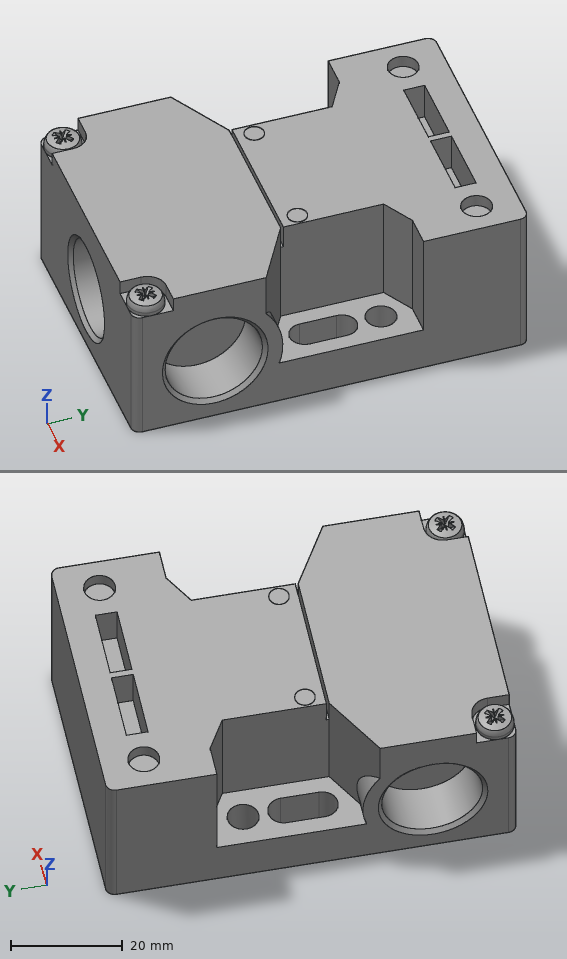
import cadquery as cq
import math

width = 52.0
length = 75.0
height = 30.0
corner_radius = 1.65
half_width = width / 2
rear_y = length / 2
front_y = -length / 2

waist_half_width = 14.0
flange_thickness = 8.9
flank_angle = 30.0
notch_rear_y = rear_y - 20.0
notch_rear_flat = 6.1
notch_front_y = rear_y - 43.0

groove_width = 0.5
groove_depth = 4.65

mount_x = 20.0
mount_diameter = 5.7
through_hole_y = rear_y - 26.0
slot_y = rear_y - 37.0
slot_length = 12.75
blind_hole_depth = 2.4

window_size = (13.4, 4.0)
window_gap = 1.2
window_depth = 7.5
rear_row_y = rear_y - 7.9

pin_diameter = 3.7
pin_recess = 0.1
pin_x = 11.8
pin_y = rear_y - 39.0

entry_diameter = 18.45
entry_mouth_diameter = 20.0
entry_chamfer = (entry_mouth_diameter - entry_diameter) / 2
entry_z = 13.0
entry_depth = 10.0
side_entry_y = rear_y - 59.55
entry_boss_radius = 12.8

pocket_size = 7.5
pocket_depth = 2.8
pocket_radius = 3.5
pocket_floor_z = height - pocket_depth
screw_inset = 3.45
screw_radius = 3.45
screw_rim_height = 0.75
screw_shoulder_radius = 3.0
screw_shoulder_height = 2.0
screw_height = 2.6
dome_bulge = 0.75
recess_radius = 2.25
recess_arm_width = 0.8
recess_depth = 1.95
score_width = 0.15
score_depth = 0.6

SIDES = (-1, 1)


def side_notch(side):
    """Cutter for one side notch, kept clear of the round boss around the side entry."""
    slope = math.tan(math.radians(flank_angle))
    rear_corner_x = half_width - notch_rear_flat
    outline = [
        (side * half_width, notch_rear_y),
        (side * rear_corner_x, notch_rear_y),
        (side * waist_half_width, notch_rear_y - (rear_corner_x - waist_half_width) * slope),
        (side * waist_half_width, notch_front_y),
        (side * half_width, notch_front_y - (half_width - waist_half_width) * slope),
    ]
    notch_height = height - flange_thickness
    notch = cq.Workplane("XY").workplane(offset=flange_thickness)
    notch = notch.polyline(outline).close().extrude(notch_height)
    boss = (
        cq.Workplane("ZY")
        .center(entry_z, side_entry_y)
        .circle(entry_boss_radius)
        .extrude(half_width, both=True)
    )
    return notch.cut(boss)


def cable_entry(mouth, inward):
    """Blind round bore with a chamfered mouth, starting at the point mouth."""
    plane = cq.Plane(origin=mouth, xDir=(0, 0, 1), normal=inward)
    bore = cq.Workplane(plane).circle(entry_diameter / 2).extrude(entry_depth)
    lead_in = (
        cq.Workplane(plane)
        .circle(entry_mouth_diameter / 2)
        .workplane(offset=entry_chamfer)
        .circle(entry_diameter / 2)
        .loft()
    )
    return bore.union(lead_in)


def corner_pocket(side):
    """Cutter for one open pocket in a front top corner, rounded at its inner corner."""
    block_size = 2 * pocket_size
    return (
        cq.Workplane("XY", origin=(side * half_width, front_y, pocket_floor_z))
        .rect(block_size, block_size)
        .extrude(pocket_depth)
        .edges("|Z")
        .fillet(pocket_radius)
    )


def screw_head(side):
    """Domed screw head with a diagonal cross recess and two fine score lines, all deepest at the centre."""
    flank_middle = (
        screw_shoulder_radius + dome_bulge * (screw_radius - screw_shoulder_radius),
        (screw_rim_height + screw_shoulder_height) / 2,
    )
    crown_middle = (
        screw_shoulder_radius / 2,
        screw_shoulder_height + dome_bulge * (screw_height - screw_shoulder_height),
    )
    head = (
        cq.Workplane("XZ")
        .lineTo(screw_radius, 0)
        .lineTo(screw_radius, screw_rim_height)
        .threePointArc(flank_middle, (screw_shoulder_radius, screw_shoulder_height))
        .threePointArc(crown_middle, (0, screw_height))
        .close()
        .revolve(360, (0, 0, 0), (0, 1, 0))
    )
    cuts = (
        (45, recess_arm_width, recess_depth),
        (135, recess_arm_width, recess_depth),
        (0, score_width, score_depth),
        (90, score_width, score_depth),
    )
    for angle, arm_width, depth in cuts:
        arm = (
            cq.Workplane("XZ")
            .polyline(
                [(-recess_radius, screw_height), (0, screw_height - depth), (recess_radius, screw_height)]
            )
            .close()
            .extrude(arm_width / 2, both=True)
        )
        head = head.cut(arm.rotate((0, 0, 0), (0, 0, 1), angle))
    return head.translate((side * (half_width - screw_inset), front_y + screw_inset, pocket_floor_z))


result = (
    cq.Workplane("XY")
    .box(width, length, height, centered=(True, True, False))
    .edges("|Z")
    .fillet(corner_radius)
)

for side in SIDES:
    result = result.cut(side_notch(side))
groove = cq.Workplane("XY", origin=(0, notch_front_y, height - groove_depth))
result = result.cut(
    groove.box(2 * waist_half_width, groove_width, groove_depth, centered=(True, False, False))
)

flange_base = cq.Workplane("XY")
through_points = [(side * mount_x, through_hole_y) for side in SIDES]
slot_points = [(side * mount_x, slot_y) for side in SIDES]
result = result.cut(
    flange_base.pushPoints(through_points).circle(mount_diameter / 2).extrude(flange_thickness)
)
result = result.cut(
    flange_base.pushPoints(slot_points).slot2D(slot_length, mount_diameter, 90).extrude(flange_thickness)
)

top_plane = cq.Workplane("XY").workplane(offset=height)
blind_points = [(side * mount_x, rear_row_y) for side in SIDES]
window_x = (window_size[0] + window_gap) / 2
window_points = [(side * window_x, rear_row_y) for side in SIDES]
pin_points = [(side * pin_x, pin_y) for side in SIDES]
result = result.cut(top_plane.pushPoints(blind_points).circle(mount_diameter / 2).extrude(-blind_hole_depth))
result = result.cut(top_plane.pushPoints(window_points).rect(*window_size).extrude(-window_depth))
result = result.cut(top_plane.pushPoints(pin_points).circle(pin_diameter / 2).extrude(-pin_recess))

result = result.cut(cable_entry((0, front_y, entry_z), (0, 1, 0)))
for side in SIDES:
    result = result.cut(cable_entry((side * half_width, side_entry_y, entry_z), (-side, 0, 0)))

for side in SIDES:
    result = result.cut(corner_pocket(side))
    result = result.union(screw_head(side))